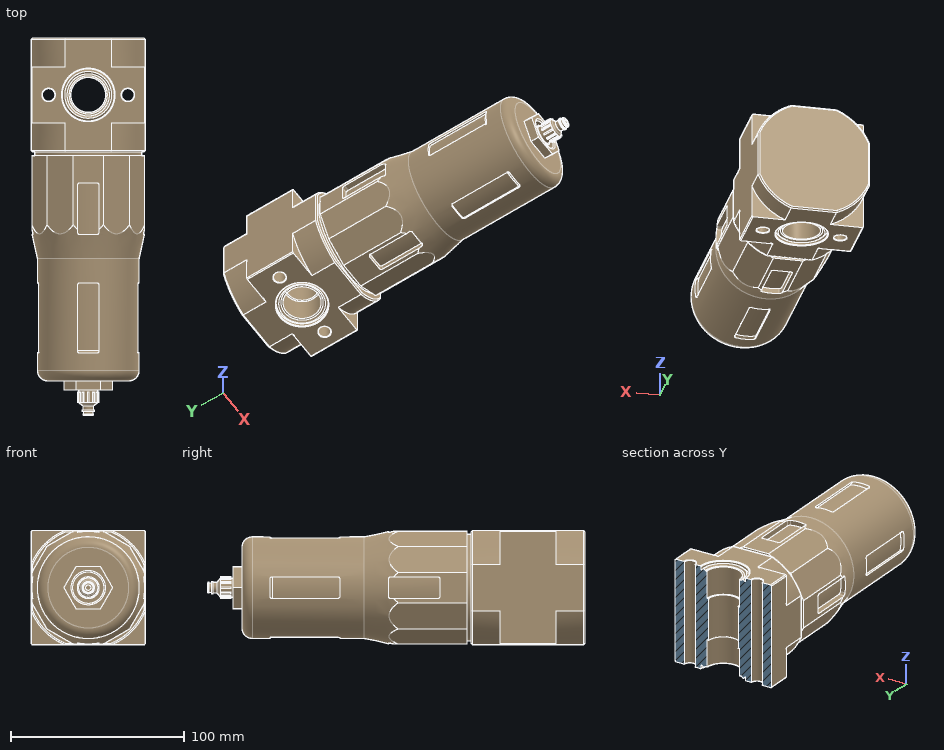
import cadquery as cq
import math


HEAD_WIDTH = 66.0
HEAD_BACK_Y = 33.0
HEAD_FRONT_Y = -33.0
HEAD_END_DIAMETER = 71.3
HEAD_END_CHAMFER = 0.9
BLOCK_LENGTH = 32.3
BLOCK_CORNER_CHAMFER = 0.7

PORT_COUNTERBORE_DIAMETER = 30.0
PORT_COUNTERBORE_DEPTH = 2.6
PORT_MOUTH_CHAMFER = 0.5
RIDGE_DIAMETER = 27.0
RIDGE_TOP_DEPTH = 1.0
RIDGE_INNER_DIAMETER = 24.5
RIDGE_INNER_DEPTH = 2.2
PORT_THREAD_DIAMETER = 22.0
PORT_THREAD_DEPTH = 19.6
PORT_BORE_DIAMETER = 20.0

MOUNTING_HOLE_DIAMETER = 7.2
MOUNTING_HOLE_MOUTH_CHAMFER = 0.33
MOUNTING_HOLE_X = 22.9

NECK_DIAMETER = 62.0
COLLAR_BACK_Y = -35.0
COLLAR_SIDES = 12
COLLAR_ACROSS_FLATS = 65.2
TAPER_SLOPE = 0.22
TAPER_END_Y = -94.6
BOWL_DIAMETER = 58.9
BOWL_END_Y = -165.2
BOWL_FILLET = 6.0

WINDOW_WIDTH = 12.5
WINDOW_CORNER_RADIUS = 1.3
COLLAR_WINDOW_BACK_Y = -50.8
COLLAR_WINDOW_FRONT_Y = -80.7
COLLAR_WINDOW_FLOOR_DIAMETER = 58.9
BOWL_WINDOW_BACK_Y = -108.5
BOWL_WINDOW_FRONT_Y = -149.1
BOWL_WINDOW_FLOOR_DIAMETER = 56.2
BOWL_WINDOW_END_SLOPE = 1.5

HEX_ACROSS_FLATS = 24.5
HEX_END_Y = -170.5
DRAIN_BORE_DIAMETER = 18.0
DRAIN_BORE_CHAMFER = 0.9
DRAIN_BORE_FLOOR_Y = BOWL_END_Y

SHAFT_DIAMETER = 12.6
DRAIN_NECK_DIAMETER = 11.1
DRAIN_NECK_BACK_Y = -169.2
KNOB_DIAMETER = 12.6
KNOB_BACK_Y = -171.5
KNOB_FRONT_Y = -177.7
KNOB_RIBS = 12
KNOB_RIB_WIDTH = 0.9
SHOULDER_DIAMETER = 9.0
SHOULDER_Y = -178.5
STEM_DIAMETER = 6.3
STEM_BACK_Y = -179.6
BARB_DIAMETER = 7.2
BARB_BACK_Y = -182.0
BARB_FRONT_Y = -183.0
TIP_NECK_DIAMETER = 5.7
TIP_DIAMETER = 6.3
TIP_CHAMFER = 0.5
TIP_BACK_Y = -184.2
TIP_END_Y = HEAD_BACK_Y - 218
TIP_BORE_DIAMETER = 3.0
TIP_BORE_DEPTH = 4.4

QUARTER_TURNS = (0, 90, 180, 270)


def rod_along_y(diameter, back_y, front_y):
    """Cylinder on the filter axis."""
    return cq.Workplane("XZ", origin=(0, back_y, 0)).circle(diameter / 2).extrude(back_y - front_y)


def turned_about_y(points):
    """Solid of revolution about the filter axis from (radius, y) points."""
    return cq.Workplane("XY").polyline(points).close().revolve(360, (0, 0), (0, 1))


def revolved_port(upper_profile):
    """Solid of revolution about Z from (radius, z) points, mirrored to the lower half."""
    upper = cq.Workplane("XZ").polyline(upper_profile).close().revolve(360, (0, 0), (0, 1))
    return upper.union(upper.mirror("XY"))


def make_head():
    length = HEAD_BACK_Y - HEAD_FRONT_Y
    square = cq.Workplane("XZ", origin=(0, HEAD_BACK_Y, 0)).rect(HEAD_WIDTH, HEAD_WIDTH).extrude(length)
    rounded = rod_along_y(HEAD_END_DIAMETER, HEAD_BACK_Y, HEAD_FRONT_Y).intersect(square)
    rounded = rounded.faces("<Y or >Y").chamfer(HEAD_END_CHAMFER)
    block = cq.Workplane("XY").box(HEAD_WIDTH, BLOCK_LENGTH, HEAD_WIDTH)
    block = block.edges("|Y").chamfer(BLOCK_CORNER_CHAMFER)
    return rounded.union(block)


def make_port_cutter():
    """Stepped passage through the head with the ridge left standing at each mouth."""
    top = HEAD_WIDTH / 2
    counterbore_radius = PORT_COUNTERBORE_DIAMETER / 2
    profile = [
        (0, 0),
        (PORT_BORE_DIAMETER / 2, 0),
        (PORT_BORE_DIAMETER / 2, top - PORT_THREAD_DEPTH),
        (PORT_THREAD_DIAMETER / 2, top - PORT_THREAD_DEPTH),
        (PORT_THREAD_DIAMETER / 2, top - RIDGE_INNER_DEPTH),
        (RIDGE_INNER_DIAMETER / 2, top - RIDGE_INNER_DEPTH),
        (RIDGE_DIAMETER / 2, top - RIDGE_TOP_DEPTH),
        (counterbore_radius, top - PORT_COUNTERBORE_DEPTH),
        (counterbore_radius, top - PORT_MOUTH_CHAMFER),
        (counterbore_radius + PORT_MOUTH_CHAMFER, top),
        (0, top),
    ]
    return revolved_port(profile)


def make_mounting_hole_cutter():
    """Straight hole through the head with a small countersink at each mouth."""
    top = HEAD_WIDTH / 2
    radius = MOUNTING_HOLE_DIAMETER / 2
    profile = [
        (0, 0),
        (radius, 0),
        (radius, top - MOUNTING_HOLE_MOUTH_CHAMFER),
        (radius + MOUNTING_HOLE_MOUTH_CHAMFER, top),
        (0, top),
    ]
    return revolved_port(profile)


def make_collar():
    """Twelve flats trimmed by the cone that leads down to the bowl."""
    corner_diameter = COLLAR_ACROSS_FLATS / math.cos(math.pi / COLLAR_SIDES)
    length = COLLAR_BACK_Y - TAPER_END_Y
    prism = (
        cq.Workplane("XZ", origin=(0, COLLAR_BACK_Y, 0))
        .transformed(rotate=(0, 0, 180 / COLLAR_SIDES))
        .polygon(COLLAR_SIDES, corner_diameter)
        .extrude(length)
    )
    end_radius = BOWL_DIAMETER / 2
    cone = turned_about_y([
        (0, TAPER_END_Y),
        (end_radius, TAPER_END_Y),
        (end_radius + TAPER_SLOPE * length, COLLAR_BACK_Y),
        (0, COLLAR_BACK_Y),
    ])
    return prism.intersect(cone)


def make_bowl():
    return rod_along_y(BOWL_DIAMETER, TAPER_END_Y, BOWL_END_Y).faces("<Y").edges().fillet(BOWL_FILLET)


def cut_windows(body, back_y, front_y, floor):
    """Cut the same rounded window into all four sides, down to the floor solid."""
    window = (
        cq.Workplane("XY", origin=(0, (back_y + front_y) / 2, 0))
        .rect(WINDOW_WIDTH, back_y - front_y)
        .extrude(HEAD_WIDTH)
        .edges("|Z")
        .fillet(WINDOW_CORNER_RADIUS)
        .cut(floor)
    )
    for angle in QUARTER_TURNS:
        body = body.cut(window.rotate((0, 0, 0), (0, 1, 0), angle))
    return body


def make_bowl_window_floor():
    """Round floor that rises to the bowl surface in a short ramp at the front end."""
    floor_radius = BOWL_WINDOW_FLOOR_DIAMETER / 2
    bowl_radius = BOWL_DIAMETER / 2
    return turned_about_y([
        (0, BOWL_WINDOW_BACK_Y),
        (floor_radius, BOWL_WINDOW_BACK_Y),
        (floor_radius, BOWL_WINDOW_FRONT_Y + BOWL_WINDOW_END_SLOPE),
        (bowl_radius, BOWL_WINDOW_FRONT_Y),
        (0, BOWL_WINDOW_FRONT_Y),
    ])


def make_hexagon():
    return (
        cq.Workplane("XZ", origin=(0, BOWL_END_Y, 0))
        .polygon(6, HEX_ACROSS_FLATS / math.cos(math.pi / 6))
        .extrude(BOWL_END_Y - HEX_END_Y)
    )


def make_drain_bore_cutter():
    radius = DRAIN_BORE_DIAMETER / 2
    return turned_about_y([
        (0, DRAIN_BORE_FLOOR_Y),
        (radius, DRAIN_BORE_FLOOR_Y),
        (radius, HEX_END_Y + DRAIN_BORE_CHAMFER),
        (radius + DRAIN_BORE_CHAMFER, HEX_END_Y),
        (0, HEX_END_Y),
    ])


def make_housing():
    housing = make_head().cut(make_port_cutter())
    for hole_x in (-MOUNTING_HOLE_X, MOUNTING_HOLE_X):
        housing = housing.cut(make_mounting_hole_cutter().translate((hole_x, 0, 0)))
    housing = housing.union(rod_along_y(NECK_DIAMETER, HEAD_FRONT_Y, COLLAR_BACK_Y))
    housing = housing.union(make_collar()).union(make_bowl()).union(make_hexagon())
    collar_floor = rod_along_y(COLLAR_WINDOW_FLOOR_DIAMETER, COLLAR_WINDOW_BACK_Y, COLLAR_WINDOW_FRONT_Y)
    housing = cut_windows(housing, COLLAR_WINDOW_BACK_Y, COLLAR_WINDOW_FRONT_Y, collar_floor)
    housing = cut_windows(housing, BOWL_WINDOW_BACK_Y, BOWL_WINDOW_FRONT_Y, make_bowl_window_floor())
    return housing.cut(make_drain_bore_cutter())


def make_knob_ribs():
    """Lengthwise ribs spaced evenly around the knob, trimmed to its outer diameter."""
    length = KNOB_BACK_Y - KNOB_FRONT_Y
    middle_y = (KNOB_BACK_Y + KNOB_FRONT_Y) / 2
    rib = cq.Workplane("XY", origin=(0, middle_y, 0)).rect(KNOB_RIB_WIDTH, length).extrude(KNOB_DIAMETER)
    rib = rib.intersect(rod_along_y(KNOB_DIAMETER, KNOB_BACK_Y, KNOB_FRONT_Y))
    return [rib.rotate((0, 0, 0), (0, 1, 0), index * 360 / KNOB_RIBS) for index in range(KNOB_RIBS)]


def make_drain_screw():
    screw = turned_about_y([
        (0, DRAIN_BORE_FLOOR_Y),
        (SHAFT_DIAMETER / 2, DRAIN_BORE_FLOOR_Y),
        (SHAFT_DIAMETER / 2, DRAIN_NECK_BACK_Y),
        (DRAIN_NECK_DIAMETER / 2, DRAIN_NECK_BACK_Y),
        (DRAIN_NECK_DIAMETER / 2, KNOB_FRONT_Y),
        (SHOULDER_DIAMETER / 2, SHOULDER_Y),
        (STEM_DIAMETER / 2, STEM_BACK_Y),
        (STEM_DIAMETER / 2, BARB_BACK_Y),
        (BARB_DIAMETER / 2, BARB_BACK_Y),
        (BARB_DIAMETER / 2, BARB_FRONT_Y),
        (TIP_NECK_DIAMETER / 2, BARB_FRONT_Y),
        (TIP_NECK_DIAMETER / 2, TIP_BACK_Y),
        (TIP_DIAMETER / 2, TIP_BACK_Y),
        (TIP_DIAMETER / 2, TIP_END_Y + TIP_CHAMFER),
        (TIP_DIAMETER / 2 - TIP_CHAMFER, TIP_END_Y),
        (0, TIP_END_Y),
    ])
    tip_bore = rod_along_y(TIP_BORE_DIAMETER, TIP_END_Y + TIP_BORE_DEPTH, TIP_END_Y)
    for rib in make_knob_ribs():
        screw = screw.union(rib)
    return screw.cut(tip_bore)


housing = make_housing()
drain_screw = make_drain_screw()

result = cq.Compound.makeCompound([housing.val(), drain_screw.val()])